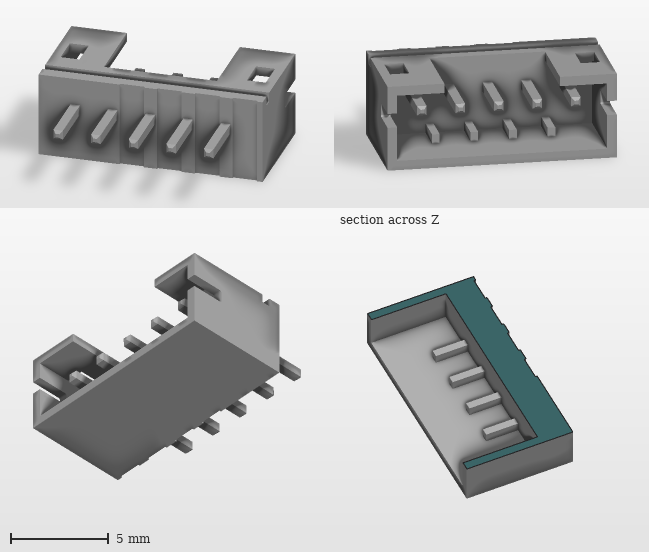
import cadquery as cq


PIN_COUNT = 5
PITCH = 2.0
PIN_SIZE = 0.5
PIN_AXIS_Z = 2.8
PIN_CHAMFER = 0.15
TAIL_LENGTH = 3.3
PIN_SETBACK = 0.8

END_MARGIN = 1.95
HOUSING_X = (PIN_COUNT - 1) * PITCH + 2 * END_MARGIN
HOUSING_Y = 6.0
HOUSING_Z = 4.5
WALL = 0.5
CAVITY_DEPTH = 4.2

ROOF_OPENING_X = 6.0

WINDOW_X = 1.0
WINDOW_Y = 1.7
WINDOW_SETBACK = 2.0

SIDE_SLOT_TOP = PIN_AXIS_Z + PIN_SIZE / 2
SIDE_SLOT_Z = 0.75
SIDE_SLOT_DEPTH = 1.9
SIDE_SLOT_RADIUS = 0.1

GROOVE_SETBACK = 0.7
GROOVE_WIDTH = 0.5
GROOVE_DEPTH = 0.5

RELIEF_X = 1.3
RELIEF_DEPTH = 0.1

RIB_X = 0.4
RIB_LENGTH = 1.8
RIB_HEIGHT = 0.5

CAVITY_END_Y = HOUSING_Y - CAVITY_DEPTH
PIN_XS = [(i - (PIN_COUNT - 1) / 2) * PITCH for i in range(PIN_COUNT)]


def block(center_x, size_x, y_min, y_max, z_min, z_max):
    """Box centred on center_x, spanning the given Y and Z limits."""
    size = (size_x, y_max - y_min, z_max - z_min)
    return cq.Workplane("XY").box(*size, centered=(True, False, False)).translate((center_x, y_min, z_min))


def make_shell():
    """Housing block hollowed from the mating face, with the roof cut open in the middle."""
    outer = block(0, HOUSING_X, 0, HOUSING_Y, 0, HOUSING_Z)
    cavity = block(0, HOUSING_X - 2 * WALL, CAVITY_END_Y, HOUSING_Y, WALL, HOUSING_Z - WALL)
    roof_opening = block(0, ROOF_OPENING_X, CAVITY_END_Y, HOUSING_Y, HOUSING_Z - WALL, HOUSING_Z)
    return outer.cut(cavity).cut(roof_opening)


def cut_windows(body):
    """One latch window at each end of the roof, flush with the inner side wall."""
    y_max = HOUSING_Y - WINDOW_SETBACK
    offset = HOUSING_X / 2 - WALL - WINDOW_X / 2
    for x in (-offset, offset):
        body = body.cut(block(x, WINDOW_X, y_max - WINDOW_Y, y_max, HOUSING_Z - WALL, HOUSING_Z))
    return body


def cut_side_slots(body):
    """Slot through both side walls, with rounded inner corners."""
    slot = block(
        0, HOUSING_X, HOUSING_Y - SIDE_SLOT_DEPTH, HOUSING_Y, SIDE_SLOT_TOP - SIDE_SLOT_Z, SIDE_SLOT_TOP
    )
    slot = slot.faces("<Y").edges("|X").fillet(SIDE_SLOT_RADIUS)
    return body.cut(slot)


def cut_groove(body):
    """Groove across the whole top face, parallel to the -Y face."""
    y_max = GROOVE_SETBACK + GROOVE_WIDTH
    return body.cut(block(0, HOUSING_X, GROOVE_SETBACK, y_max, HOUSING_Z - GROOVE_DEPTH, HOUSING_Z))


def cut_reliefs(body):
    """Full-height reliefs in the -Y face, half a pitch to the +X side of all pins but the first."""
    for pin_x in PIN_XS[1:]:
        body = body.cut(block(pin_x + PITCH / 2, RELIEF_X, 0, RELIEF_DEPTH, 0, HOUSING_Z))
    return body


def add_ribs(body):
    """Floor ribs midway between neighbouring pins, rooted in the cavity end wall."""
    for pin_x in PIN_XS[:-1]:
        rib = block(
            pin_x + PITCH / 2, RIB_X, CAVITY_END_Y, CAVITY_END_Y + RIB_LENGTH, WALL, WALL + RIB_HEIGHT
        )
        body = body.union(rib)
    return body


def add_pins(body):
    """Square pins through the cavity end wall, chamfered at both ends."""
    z_min = PIN_AXIS_Z - PIN_SIZE / 2
    for x in PIN_XS:
        pin = block(x, PIN_SIZE, -TAIL_LENGTH, HOUSING_Y - PIN_SETBACK, z_min, z_min + PIN_SIZE)
        body = body.union(pin.faces("<Y or >Y").chamfer(PIN_CHAMFER))
    return body


housing = make_shell()
housing = cut_windows(housing)
housing = cut_side_slots(housing)
housing = cut_groove(housing)
housing = cut_reliefs(housing)
housing = add_ribs(housing)
result = add_pins(housing)